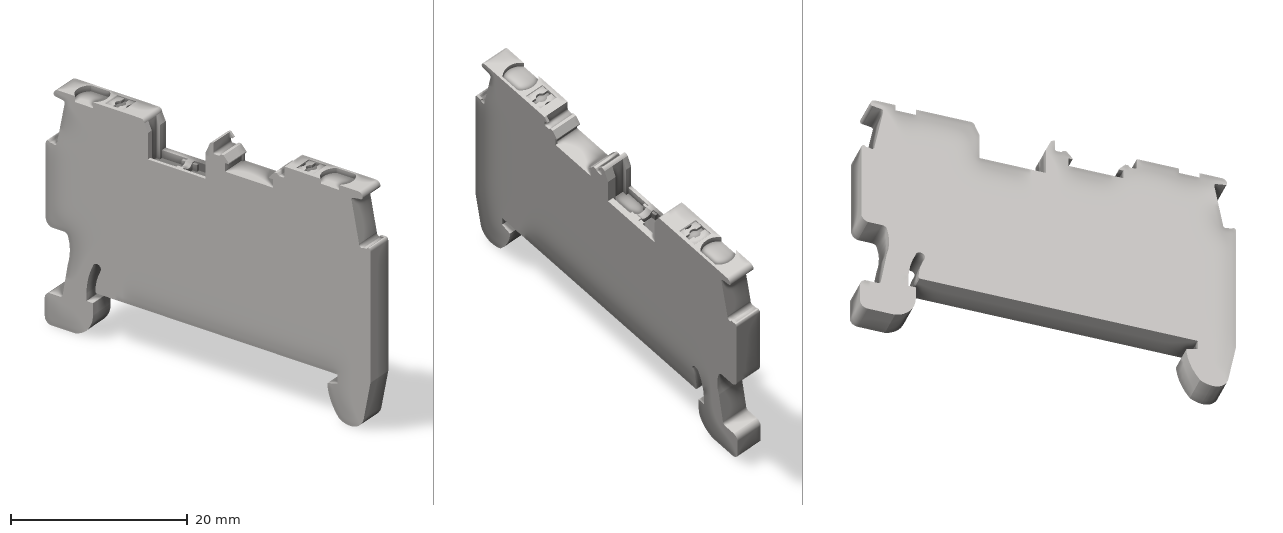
import cadquery as cq


LENGTH = 45.2
HEIGHT = 30.5
THICKNESS = 3.5
COVER_THICKNESS = 0.3
FRONT_Y = -THICKNESS / 2
BACK_Y = THICKNESS / 2
COVER_Y = BACK_Y - COVER_THICKNESS

SHOULDER_X = 0.15
SHOULDER_Z = 23.65
SHOULDER_BOTTOM_Z = 12.6
RIM_END_X = 0.5
RIM_STEP_Z = 23.45
GROOVE_FILL_END_X = 1.1
BELLY_Z = 6.05
FOOT_TOP_Z = 4.05
RIGHT_FOOT_X = 40.6
RIGHT_FOOT_TOP_Z = 6.4
LEG_INNER_X = 5.8
LATCH_X = 6.7
LATCH_Z = 4.65

NOTCH_LEFT_X = 14.35
NOTCH_RIGHT_X = 22.35
NOTCH_Z = 25.55
NOTCH_FLARE_Z = 28.95

SEAT_CENTER_X = 28.35
SEAT_HALF_WIDTH = 3.3
SEAT_FLOOR_Z = 27.3
SEAT_TIP_HALF_WIDTH = 2.8
SEAT_TIP_Z = 28.4
SEAT_TIP_HEIGHT = 0.15
SEAT_CREST_Z = 29.35
SEAT_LEDGE_Z = 29.05
SEAT_MOUTH_HALF_WIDTH = 4.93
CHEEK_THICKNESS = 0.25
SEAT_FILLET = 0.23

CHANNEL_BACK_Y = 0.6
CHANNEL_FRONT_Y = -1.0
CHANNEL_LEFT_X = 13.85
CHANNEL_RIGHT_X = 22.9
POCKET_BACK_Y = 1.0
POCKET_FRONT_Y = -1.3
POCKET_DEPTH = 1.05
BRIDGE_CENTER_X = 18.4
BRIDGE_WIDTH = 0.9
BRIDGE_SAG = 0.45
BLOCK_WIDTH = 2.12
BLOCK_DROP = 0.2

DRIVER_RADIUS = 2.05
DRIVER_Y = -0.15
LEFT_DRIVER_X = 5.45
LEFT_DRIVER_DEPTH = 0.75
RIGHT_DRIVER_X = 39.55
RIGHT_DRIVER_DEPTH = 0.65

SOCKET_LENGTH = 2.45
LEFT_SOCKET_MOUTH = 2.65
RIGHT_SOCKET_MOUTH = 2.45
SOCKET_WIDTH = 2.45
SOCKET_Y = 0.05
SOCKET_RECESS = 0.15
SOCKET_DEPTH = 0.5
SOCKET_RADIUS = 0.65
SOCKET_SLOT = 0.65
BITE_RADIUS = 0.7
BITE_OVERHANG = 0.4
LEFT_SOCKET_X = 9.25
RIGHT_SOCKET_X = 35.75


def mirrored(point):
    """Mirror a profile point from the left shoulder side to the right one."""
    return (SHOULDER_X + LENGTH - point[0], point[1])


def seat_point(side, half_width, z):
    """A point of the marker seat; side is -1 for its left half and 1 for its right half."""
    return (SEAT_CENTER_X + side * half_width, z)


def slab(outline, y_from, y_to):
    """Extrude a closed XZ outline between two Y positions."""
    return outline.extrude(-(y_to - y_from)).translate((0, y_from, 0))


def block(x_from, x_to, y_from, y_to, z_from, z_to):
    """A box given by its limits."""
    box = cq.Workplane("XY").box(x_to - x_from, y_to - y_from, z_to - z_from, centered=False)
    return box.translate((x_from, y_from, z_from))


def polygon_slab(points, y_from, y_to):
    """A slab with a straight-sided outline."""
    return slab(cq.Workplane("XZ").polyline(points).close(), y_from, y_to)


def body_profile():
    """The outline of the whole housing, clockwise from the top of the left head."""
    nose_top = (1.8, HEIGHT)
    nose_upper = (1.4, 30.35)
    nose_tip = (1.2, 29.9)
    nose_lower = (1.3, 29.7)
    nose_bottom = (1.6, 29.6)
    neck_under = (2.5, 29.45)
    neck_mid = (2.7, 29.35)
    neck_top = (2.75, 29.1)
    neck_bottom = (1.7, 23.78)
    groove_bottom = (1.4, 23.35)
    shoulder_path = [
        (1.15, RIM_STEP_Z),
        (0.72, RIM_STEP_Z),
        (RIM_END_X, SHOULDER_Z),
        (0.3, SHOULDER_Z),
    ]
    shoulder_round = (0.2, 23.45)
    shoulder_side = (SHOULDER_X, 23.25)

    head_end = (13.4, HEIGHT)
    head_round = (13.65, 30.37)
    head_flare = (13.85, 30.0)
    tower_flare = (22.9, 30.3)
    tower_round = (23.1, 30.4)
    tower_top = seat_point(-1, SEAT_MOUTH_HALF_WIDTH, HEIGHT)

    outline = cq.Workplane("XZ").moveTo(*nose_top)
    outline = outline.lineTo(*head_end).threePointArc(head_round, head_flare)
    outline = outline.lineTo(NOTCH_LEFT_X, NOTCH_FLARE_Z).lineTo(NOTCH_LEFT_X, NOTCH_Z)
    outline = outline.lineTo(NOTCH_RIGHT_X, NOTCH_Z).lineTo(NOTCH_RIGHT_X, NOTCH_FLARE_Z)
    outline = outline.lineTo(*tower_flare).threePointArc(tower_round, tower_top)
    seat_side = [
        (SEAT_MOUTH_HALF_WIDTH, SEAT_LEDGE_Z),
        (4.15, SEAT_LEDGE_Z),
        (3.9, SEAT_CREST_Z),
        (3.53, SEAT_CREST_Z),
        (SEAT_TIP_HALF_WIDTH, SEAT_TIP_Z + SEAT_TIP_HEIGHT),
        (SEAT_TIP_HALF_WIDTH, SEAT_TIP_Z),
        (SEAT_HALF_WIDTH, SEAT_TIP_Z),
        (SEAT_HALF_WIDTH, SEAT_FLOOR_Z),
    ]
    for half_width, z in seat_side:
        outline = outline.lineTo(*seat_point(-1, half_width, z))
    for half_width, z in reversed(seat_side):
        outline = outline.lineTo(*seat_point(1, half_width, z))
    outline = outline.lineTo(*seat_point(1, SEAT_MOUTH_HALF_WIDTH, HEIGHT)).lineTo(*mirrored(nose_top))
    outline = outline.threePointArc(mirrored(nose_upper), mirrored(nose_tip))
    outline = outline.threePointArc(mirrored(nose_lower), mirrored(nose_bottom)).lineTo(*mirrored(neck_under))
    outline = outline.threePointArc(mirrored(neck_mid), mirrored(neck_top)).lineTo(*mirrored(neck_bottom))
    outline = outline.threePointArc(mirrored(groove_bottom), mirrored(shoulder_path[0]))
    for point in shoulder_path[1:]:
        outline = outline.lineTo(*mirrored(point))
    outline = outline.threePointArc(mirrored(shoulder_round), mirrored(shoulder_side))
    toe_back = (44.3, 1.65)
    toe_bottom = (42.3, 0)
    toe_front = (40.85, 0.45)
    hook_tip_x = 39.25
    outline = outline.lineTo(LENGTH, RIGHT_FOOT_TOP_Z).lineTo(*toe_back)
    outline = outline.threePointArc((43.7, 0.5), toe_bottom).threePointArc((41.55, 0.15), toe_front)
    outline = outline.threePointArc((39.9, 1.9), (hook_tip_x, 4.05)).lineTo(hook_tip_x, 4.5)
    outline = outline.lineTo(RIGHT_FOOT_X, 4.9).lineTo(RIGHT_FOOT_X, BELLY_Z)
    slot_right_top = (7.77, 9.18)
    slot_left_top = (6.7, 9.45)
    outline = outline.lineTo(7.15, BELLY_Z).lineTo(7.0, BELLY_Z + 0.15)
    outline = outline.threePointArc((7.25, 7.77), slot_right_top)
    outline = outline.threePointArc((7.3, 9.85), slot_left_top)
    outline = outline.threePointArc((6.0, 7.55), (LEG_INNER_X, 5.65))
    latch_top = (LATCH_X, LATCH_Z)
    latch_bottom = (LATCH_X, 3.07)
    heel_bottom = (0.9, 0)
    heel_side = (0, 0.9)
    heel_upper = (0, FOOT_TOP_Z - 0.72)
    heel_top = (0.65, FOOT_TOP_Z)
    leg_bottom = (2.5, 4.4)
    leg_bulge_start = (3.2, 8.65)
    leg_bulge_end = (3.25, 12.05)
    outline = outline.lineTo(LEG_INNER_X, LATCH_Z).lineTo(*latch_top).lineTo(*latch_bottom)
    outline = outline.threePointArc((5.85, 0.9), (4.2, 0)).lineTo(*heel_bottom)
    outline = outline.threePointArc((0.25, 0.25), heel_side).lineTo(*heel_upper)
    outline = outline.threePointArc((0.23, FOOT_TOP_Z - 0.23), heel_top).lineTo(2.12, FOOT_TOP_Z)
    outline = outline.threePointArc((2.35, 4.15), leg_bottom).lineTo(*leg_bulge_start)
    outline = outline.threePointArc((3.5, 10.6), leg_bulge_end)
    outline = outline.threePointArc((3.07, 12.45), (2.65, SHOULDER_BOTTOM_Z))
    outline = outline.lineTo(0.95, SHOULDER_BOTTOM_Z).threePointArc((0.4, 12.93), (SHOULDER_X, 13.55))
    outline = outline.lineTo(*shoulder_side)
    outline = outline.threePointArc(shoulder_round, shoulder_path[-1])
    for point in reversed(shoulder_path[:-1]):
        outline = outline.lineTo(*point)
    outline = outline.threePointArc(groove_bottom, neck_bottom)
    outline = outline.lineTo(*neck_top).threePointArc(neck_mid, neck_under)
    outline = outline.lineTo(*nose_bottom).threePointArc(nose_lower, nose_tip)
    outline = outline.threePointArc(nose_upper, nose_top)
    return outline.close()


def cover_details():
    """Hooks and cheeks at the marker seat and shoulder groove fills, on the back cover only."""
    hook_bottom_z = 29.8
    hook = [
        (SEAT_MOUTH_HALF_WIDTH, HEIGHT),
        (4.45, 29.95),
        (4.55, hook_bottom_z),
        (SEAT_MOUTH_HALF_WIDTH, hook_bottom_z),
    ]
    cheek_half_width = SEAT_HALF_WIDTH - CHEEK_THICKNESS
    cheek = [
        (SEAT_HALF_WIDTH, SEAT_FLOOR_Z),
        (cheek_half_width, SEAT_FLOOR_Z),
        (cheek_half_width, SEAT_TIP_Z),
        (SEAT_HALF_WIDTH, SEAT_TIP_Z),
    ]
    groove_fill = [
        (RIM_END_X, SHOULDER_Z),
        (GROOVE_FILL_END_X, SHOULDER_Z),
        (GROOVE_FILL_END_X, RIM_STEP_Z),
        (RIM_END_X, RIM_STEP_Z),
    ]
    mirrored_fill = [mirrored(point) for point in groove_fill]
    details = [polygon_slab(points, COVER_Y, BACK_Y) for points in (groove_fill, mirrored_fill)]
    for side in (-1, 1):
        for shape in (hook, cheek):
            points = [seat_point(side, half_width, z) for half_width, z in shape]
            details.append(polygon_slab(points, COVER_Y, BACK_Y))
    return details


def jumper_channel():
    """The space removed below and beside the notch, around the saddle-shaped bridge."""
    floor_z = NOTCH_Z - POCKET_DEPTH
    space = block(CHANNEL_LEFT_X, CHANNEL_RIGHT_X, CHANNEL_FRONT_Y, CHANNEL_BACK_Y, floor_z, HEIGHT)
    pocket = block(NOTCH_LEFT_X, NOTCH_RIGHT_X, POCKET_FRONT_Y, POCKET_BACK_Y, floor_z, NOTCH_Z)
    space = space.union(pocket)
    block_left_x = BRIDGE_CENTER_X - BLOCK_WIDTH / 2
    block_right_x = BRIDGE_CENTER_X + BLOCK_WIDTH / 2
    for y_from, y_to in ((POCKET_FRONT_Y, CHANNEL_FRONT_Y), (CHANNEL_BACK_Y, POCKET_BACK_Y)):
        space = space.cut(block(block_left_x, block_right_x, y_from, y_to, floor_z, NOTCH_Z - BLOCK_DROP))
    saddle_middle = ((CHANNEL_FRONT_Y + CHANNEL_BACK_Y) / 2, NOTCH_Z - BRIDGE_SAG)
    saddle = (
        cq.Workplane("YZ")
        .moveTo(POCKET_FRONT_Y, floor_z)
        .lineTo(POCKET_FRONT_Y, NOTCH_Z)
        .lineTo(CHANNEL_FRONT_Y, NOTCH_Z)
        .threePointArc(saddle_middle, (CHANNEL_BACK_Y, NOTCH_Z))
        .lineTo(POCKET_BACK_Y, NOTCH_Z)
        .lineTo(POCKET_BACK_Y, floor_z)
        .close()
        .extrude(BRIDGE_WIDTH)
        .translate((BRIDGE_CENTER_X - BRIDGE_WIDTH / 2, 0, 0))
    )
    return space.cut(saddle)


def driver_pocket(center_x, depth):
    """Round pocket that stops at the cover and breaks through the front face."""
    disc = cq.Workplane("XY").center(center_x, DRIVER_Y).circle(DRIVER_RADIUS).extrude(depth)
    disc = disc.translate((0, 0, HEIGHT - depth))
    limits = block(0, LENGTH, FRONT_Y - DRIVER_RADIUS, COVER_Y, HEIGHT - depth, HEIGHT)
    return disc.intersect(limits)


def test_socket(center_x, mouth_length, inward):
    """Shallow recess, flared in X, with deeper openings; inward is the X direction towards the notch."""
    left_x = center_x - SOCKET_LENGTH / 2
    right_x = center_x + SOCKET_LENGTH / 2
    front_y = SOCKET_Y - SOCKET_WIDTH / 2
    back_y = SOCKET_Y + SOCKET_WIDTH / 2
    recess_floor_z = HEIGHT - SOCKET_RECESS
    recess_points = [
        (left_x, recess_floor_z),
        (right_x, recess_floor_z),
        (center_x + mouth_length / 2, HEIGHT),
        (center_x - mouth_length / 2, HEIGHT),
    ]
    recess = polygon_slab(recess_points, front_y, back_y)
    bite_x = center_x + inward * (SOCKET_LENGTH / 2 + BITE_OVERHANG)
    openings = (
        cq.Workplane("XY", origin=(center_x, SOCKET_Y, HEIGHT - SOCKET_DEPTH))
        .circle(SOCKET_RADIUS)
        .extrude(SOCKET_DEPTH)
    )
    slot_left_x = center_x - SOCKET_SLOT / 2
    slot = block(slot_left_x, slot_left_x + SOCKET_SLOT, front_y, back_y, HEIGHT - SOCKET_DEPTH, HEIGHT)
    bite = (
        cq.Workplane("XY", origin=(bite_x, SOCKET_Y, HEIGHT - SOCKET_DEPTH))
        .circle(BITE_RADIUS)
        .extrude(SOCKET_DEPTH)
        .intersect(block(left_x, right_x, front_y, back_y, HEIGHT - SOCKET_DEPTH, HEIGHT))
    )
    return recess.union(openings).union(slot).union(bite)


housing = slab(body_profile(), FRONT_Y, BACK_Y)
for side in (-1, 1):
    corner_x, corner_z = seat_point(side, SEAT_MOUTH_HALF_WIDTH, SEAT_LEDGE_Z)
    corner = cq.selectors.NearestToPointSelector((corner_x, 0, corner_z))
    housing = housing.edges(corner).fillet(SEAT_FILLET)
for detail in cover_details():
    housing = housing.union(detail)
housing = housing.cut(jumper_channel())
housing = housing.cut(driver_pocket(LEFT_DRIVER_X, LEFT_DRIVER_DEPTH))
housing = housing.cut(driver_pocket(RIGHT_DRIVER_X, RIGHT_DRIVER_DEPTH))
housing = housing.cut(test_socket(LEFT_SOCKET_X, LEFT_SOCKET_MOUTH, 1))
housing = housing.cut(test_socket(RIGHT_SOCKET_X, RIGHT_SOCKET_MOUTH, -1))

result = housing